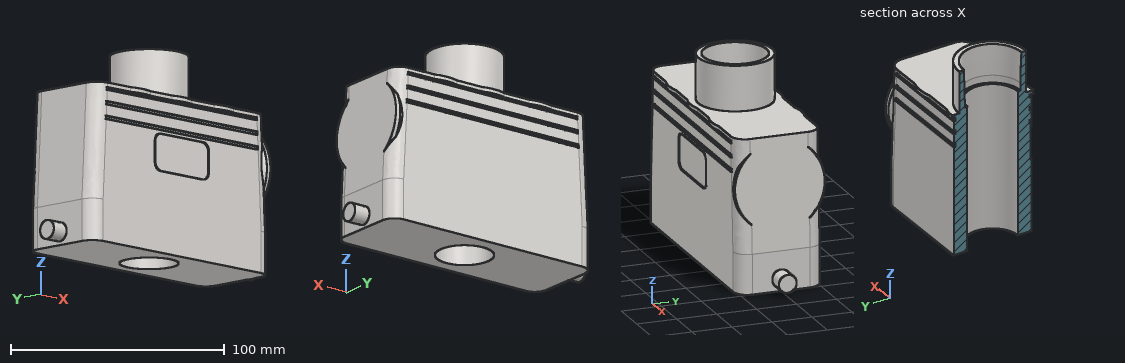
import cadquery as cq
import math

BODY_WIDTH = 43.0
BODY_HEIGHT = 76.0
BASE_LENGTH = 120.0
TAPER_START = 20.0
TAPER_ANGLE = 3.0
CORNER_RADIUS = 7.0

PIN_SPAN = 137.0
PIN_DIAMETER = 9.0
PIN_HEIGHT = 6.3

SPOUT_TOP = 98.5
SPOUT_DIAMETER = 37.0
MOUTH_DIAMETER = 31.6
SEAT_DIAMETER = 30.41
BORE_DIAMETER = 27.7
TAPERED_DEPTH = 16.5
SEAT_DEPTH = 20.5

BULGE_DIAMETER = 45.0
BULGE_HEIGHT = 2.2
BULGE_PITCH = 28.0

BOSS_DIAMETER = 45.0
BOSS_CENTRE_HEIGHT = 51.5
BOSS_RIM_THICKNESS = 2.5
BOSS_BACK_ANGLE = 30.0
BOSS_BACK_LENGTH = 6.0

GROOVE_COUNT = 3
LOWEST_GROOVE = 58.6
GROOVE_PITCH = 7.0
GROOVE_HEIGHT = 1.5
GROOVE_DEPTH = 1.0

BADGE_LENGTH = 36.0
BADGE_HEIGHT = 17.8
BADGE_CENTRE_HEIGHT = 47.9
BADGE_CORNER_RADIUS = 4.0
BADGE_DEPTH = 0.5

HALF_WIDTH = BODY_WIDTH / 2
TAPER_SLOPE = math.tan(math.radians(TAPER_ANGLE))
BULGE_UNDERSIDE = BODY_HEIGHT - BULGE_HEIGHT


def half_length(z):
    """Distance from the middle of the hood to its end wall at height z."""
    return BASE_LENGTH / 2 - TAPER_SLOPE * max(z - TAPER_START, 0)


def body_section(z):
    """Rounded rectangle of the body at height z."""
    section = cq.Sketch().rect(2 * half_length(z), BODY_WIDTH).vertices().fillet(CORNER_RADIUS)
    return section.moved(cq.Location(cq.Vector(0, 0, z)))


def make_body():
    """Straight foot with a block above it whose end walls taper inwards."""
    foot = cq.Workplane("XY").placeSketch(body_section(0)).extrude(TAPER_START)
    sections = (body_section(TAPER_START), body_section(BODY_HEIGHT))
    return foot.union(cq.Workplane("XY").placeSketch(*sections).loft(ruled=True))


def make_pins():
    """Rod along the whole hood whose ends stand out as locking pins."""
    rod = cq.Workplane("YZ").center(0, PIN_HEIGHT).circle(PIN_DIAMETER / 2)
    return rod.extrude(PIN_SPAN / 2, both=True)


def make_bulges():
    """Three discs, wider than the body and level with its top face."""
    bulges = cq.Workplane("XY")
    for x in (-BULGE_PITCH, 0, BULGE_PITCH):
        plane = cq.Workplane("XY", origin=(x, 0, BULGE_UNDERSIDE))
        bulges = bulges.union(plane.circle(BULGE_DIAMETER / 2).extrude(BULGE_HEIGHT))
    return bulges


def make_boss():
    """Disc with a conical back, tilted to lie flush with the +X end wall."""
    radius = BOSS_DIAMETER / 2
    back_depth = BOSS_RIM_THICKNESS + BOSS_BACK_LENGTH
    back_radius = radius - BOSS_BACK_LENGTH * math.tan(math.radians(BOSS_BACK_ANGLE))
    half_section = [
        (0, 0),
        (radius, 0),
        (radius, -BOSS_RIM_THICKNESS),
        (back_radius, -back_depth),
        (0, -back_depth),
    ]
    disc = cq.Workplane("XZ").polyline(half_section).close().revolve(360, (0, 0), (0, 1))
    tilted = disc.rotate((0, 0, 0), (0, 1, 0), 90 - TAPER_ANGLE)
    return tilted.translate((half_length(BOSS_CENTRE_HEIGHT), 0, BOSS_CENTRE_HEIGHT))


def make_groove(bottom, side):
    """Cutter for one groove over the flat part of a long side (side is -1 or 1)."""
    top = min(bottom + GROOVE_HEIGHT, BULGE_UNDERSIDE)
    bottom_end = half_length(bottom) - CORNER_RADIUS
    top_end = half_length(top) - CORNER_RADIUS
    outline = [(-bottom_end, bottom), (bottom_end, bottom), (top_end, top), (-top_end, top)]
    plane = cq.Workplane("XZ", origin=(0, side * HALF_WIDTH, 0))
    return plane.polyline(outline).close().extrude(GROOVE_DEPTH, both=True)


def make_badge():
    """Cutter for the shallow rounded panel."""
    plane = cq.Workplane("XZ", origin=(0, BADGE_DEPTH - HALF_WIDTH, BADGE_CENTRE_HEIGHT))
    panel = plane.rect(BADGE_LENGTH, BADGE_HEIGHT).extrude(BADGE_DEPTH)
    return panel.edges("|Y").fillet(BADGE_CORNER_RADIUS)


def make_spout():
    """Cylinder standing on the top face."""
    plane = cq.Workplane("XY", origin=(0, 0, BODY_HEIGHT))
    return plane.circle(SPOUT_DIAMETER / 2).extrude(SPOUT_TOP - BODY_HEIGHT)


def make_bore():
    """Cutter for the spout: tapered mouth, straight seat and through bore."""
    seat_z = SPOUT_TOP - SEAT_DEPTH
    taper_z = SPOUT_TOP - TAPERED_DEPTH
    half_section = [
        (0, 0),
        (BORE_DIAMETER / 2, 0),
        (BORE_DIAMETER / 2, seat_z),
        (SEAT_DIAMETER / 2, seat_z),
        (SEAT_DIAMETER / 2, taper_z),
        (MOUTH_DIAMETER / 2, SPOUT_TOP),
        (0, SPOUT_TOP),
    ]
    return cq.Workplane("XZ").polyline(half_section).close().revolve(360, (0, 0), (0, 1))


result = make_body().union(make_boss())
for index in range(GROOVE_COUNT):
    groove_bottom = LOWEST_GROOVE + index * GROOVE_PITCH
    for long_side in (-1, 1):
        result = result.cut(make_groove(groove_bottom, long_side))
result = result.union(make_bulges()).union(make_pins()).union(make_spout())
result = result.cut(make_badge()).cut(make_bore())